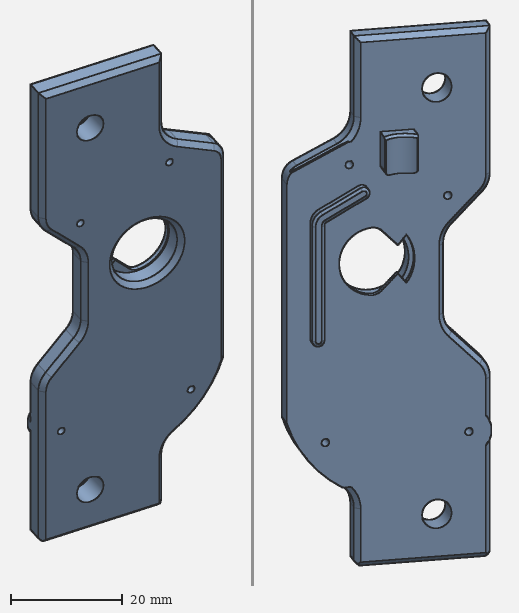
import cadquery as cq
import math

height = 100.0
overall_width = 37.57
end_width = 25.0
thickness = 5.0
edge_chamfer = 1.0

notch_depth = 8.6
notch_center_z = 53.1
notch_mouth = 34.4
notch_radius = 5.0

upper_shoulder_z = 81.4
upper_shoulder_slope = math.radians(25.5)
upper_inner_radius = 5.5
upper_outer_radius = 3.5
lower_arc_start_z = 28.2
lower_arc_radius = 22.9
lower_shoulder_z = 14.1
lower_inner_radius = 5.0

rim_bottom_z = 15.3
rim_top_z = 80.4
rim_inset = 0.35
pad_radius = 4.2

mount_hole_diameter = 5.4
mount_hole_y = 10.0
mount_hole_zs = (9.0, 89.4)
pin_hole_diameter = 1.4
edge_pin_hole = (4.1, 24.05)
pin_holes = (edge_pin_hole, (30.5, 24.05), (8.0, 68.9), (26.1, 76.1))

window_y = 21.57
window_z = 57.55
bore_diameter = 13.25
lip_thickness = 1.0
lip_diameter = 12.75
flank_radius = 2.4
bore_chamfer = 1.0
key_radius = 7.5
key_half_angle = math.radians(37.3)
throat_offset = 4.4
throat_half_width = 2.65

cradle_y = 17.35
cradle_width = 6.2
cradle_bottom_z = 74.6
cradle_top_z = 81.9
cradle_height = 3.6
cradle_corner_radius = 1.2
groove_depth = 1.2
groove_land = 0.25
groove_chamfer = 0.5

rib_width = 2.3
rib_height = 1.75
rib_chamfer_width = 0.6
rib_chamfer_depth = 0.3
rib_bend_radius = 1.8
rib_y = 32.15
rib_start_z = 43.9
rib_bend_z = 66.6
rib_end = (23.85, 71.0)


def prism(profile, x_start, x_end):
    """Extrude a profile drawn in the YZ plane from x_start to x_end."""
    return profile.extrude(x_end - x_start).translate((x_start, 0, 0))


def disc(y, z, radius, x_start, x_end):
    return prism(cq.Workplane("YZ").center(y, z).circle(radius), x_start, x_end)


def plate_blank():
    notch_low = notch_center_z - notch_mouth / 2
    notch_high = notch_center_z + notch_mouth / 2
    corner_z = upper_shoulder_z - (overall_width - end_width) * math.tan(upper_shoulder_slope)
    arc_start = (overall_width, lower_arc_start_z)
    arc_end = (end_width, lower_shoulder_z)
    outline = (
        cq.Workplane("YZ")
        .lineTo(0, notch_low)
        .lineTo(notch_depth, notch_low + notch_depth)
        .lineTo(notch_depth, notch_high - notch_depth)
        .lineTo(0, notch_high)
        .lineTo(0, height)
        .lineTo(end_width, height)
        .lineTo(end_width, upper_shoulder_z)
        .lineTo(overall_width, corner_z)
        .lineTo(*arc_start)
        .radiusArc(arc_end, lower_arc_radius)
        .lineTo(end_width, 0)
        .close()
    )
    blank = outline.extrude(thickness)

    def round_corner(body, y, z, radius):
        nearest = cq.selectors.NearestToPointSelector((thickness / 2, y, z))
        return body.edges("|X").edges(nearest).fillet(radius)

    for y, z in (
        (0, notch_low),
        (notch_depth, notch_low + notch_depth),
        (notch_depth, notch_high - notch_depth),
        (0, notch_high),
    ):
        blank = round_corner(blank, y, z, notch_radius)
    blank = round_corner(blank, end_width, upper_shoulder_z, upper_inner_radius)
    blank = round_corner(blank, overall_width, corner_z, upper_outer_radius)
    return round_corner(blank, *arc_end, lower_inner_radius)


def front_rim():
    """Slab that squares off the front edge of the wide part, just below the upper shoulder."""
    gradient = math.tan(upper_shoulder_slope)
    edge_z = upper_shoulder_z - rim_inset / math.cos(upper_shoulder_slope)
    profile = (
        cq.Workplane("YZ")
        .moveTo(end_width, rim_bottom_z)
        .lineTo(overall_width, rim_bottom_z)
        .lineTo(overall_width, edge_z - (overall_width - end_width) * gradient)
        .lineTo(end_width + (edge_z - rim_top_z) / gradient, rim_top_z)
        .lineTo(end_width, rim_top_z)
        .close()
    )
    return profile.extrude(edge_chamfer)


def plate():
    blank = plate_blank()
    chamfered = blank.faces("<X or >X").chamfer(edge_chamfer)
    pad = disc(*edge_pin_hole, pad_radius, 0, edge_chamfer)
    return bevel_bottom_corners(chamfered.union(blank.intersect(front_rim().union(pad))))


def bevel_bottom_corners(body):
    for corner_y, inward in ((0, 1), (end_width, -1)):
        corner = cq.Workplane("YZ").moveTo(corner_y, 0).lineTo(corner_y + inward * edge_chamfer, 0)
        corner = corner.lineTo(corner_y, edge_chamfer).close()
        body = body.cut(corner.extrude(thickness))
    return body


def window():
    bore = disc(window_y, window_z, bore_diameter / 2, lip_thickness, thickness)
    lip_radius = lip_diameter / 2
    key_y = window_y - key_radius * math.cos(key_half_angle)
    key_half_width = key_radius * math.sin(key_half_angle)
    throat_y = window_y - throat_offset
    flank_distance = (throat_offset + throat_half_width) / math.sqrt(2)
    flank_normal = math.radians(135)
    flank_angle = flank_normal - math.acos(flank_distance / lip_radius)
    flank_y = window_y + lip_radius * math.cos(flank_angle)
    flank_half_width = lip_radius * math.sin(flank_angle)
    opening = (
        cq.Workplane("YZ")
        .moveTo(flank_y, window_z + flank_half_width)
        .threePointArc((window_y + lip_radius, window_z), (flank_y, window_z - flank_half_width))
        .lineTo(throat_y, window_z - throat_half_width)
        .lineTo(key_y, window_z - key_half_width)
        .threePointArc((window_y - key_radius, window_z), (key_y, window_z + key_half_width))
        .lineTo(throat_y, window_z + throat_half_width)
        .close()
    )
    keyhole = opening.extrude(lip_thickness)
    for side in (1, -1):
        corner = (lip_thickness / 2, flank_y, window_z + side * flank_half_width)
        keyhole = keyhole.edges("|X").edges(cq.selectors.NearestToPointSelector(corner)).fillet(flank_radius)
    flare = cq.Workplane(
        cq.Solid.makeCone(
            bore_diameter / 2,
            bore_diameter / 2 + bore_chamfer,
            bore_chamfer,
            pnt=cq.Vector(thickness - bore_chamfer, window_y, window_z),
            dir=cq.Vector(1, 0, 0),
        )
    )
    return bore.union(keyhole).union(flare)


def cradle():
    block = (
        cq.Workplane("XY")
        .box(cradle_height, cradle_width, cradle_top_z - cradle_bottom_z, centered=(False, True, False))
        .translate((-cradle_height, cradle_y, cradle_bottom_z))
        .edges("|X and <Z")
        .fillet(cradle_corner_radius)
    )
    half_width = cradle_width / 2 - groove_land
    groove_radius = (half_width**2 + groove_depth**2) / (2 * groove_depth)
    axis_x = groove_depth - groove_radius - cradle_height
    groove = (
        cq.Workplane("XY", origin=(axis_x, cradle_y, cradle_bottom_z))
        .circle(groove_radius)
        .extrude(cradle_top_z - cradle_bottom_z)
    )
    flare = cq.Workplane(
        cq.Solid.makeCone(
            groove_radius,
            groove_radius + groove_chamfer,
            groove_chamfer,
            pnt=cq.Vector(axis_x, cradle_y, cradle_top_z - groove_chamfer),
        )
    )
    return block.cut(groove).cut(flare)


def rib():
    run_y = rib_end[0] - rib_y
    run_z = rib_end[1] - rib_bend_z
    run = math.hypot(run_y, run_z)
    turn = math.acos(run_z / run)
    tangent = rib_bend_radius * math.tan(turn / 2)
    bend_exit = (rib_y + tangent * run_y / run, rib_bend_z + tangent * run_z / run)
    outline = (
        cq.Workplane("YZ")
        .moveTo(rib_y, rib_start_z)
        .lineTo(rib_y, rib_bend_z - tangent)
        .tangentArcPoint(bend_exit, relative=False)
        .lineTo(*rib_end)
        .offset2D(rib_width / 2)
    )
    return prism(outline, -rib_height, 0).faces("<X").chamfer(rib_chamfer_depth, rib_chamfer_width)


def round_holes():
    holes = cq.Workplane("YZ")
    for z in mount_hole_zs:
        holes = holes.union(disc(mount_hole_y, z, mount_hole_diameter / 2, 0, thickness))
    for y, z in pin_holes:
        holes = holes.union(disc(y, z, pin_hole_diameter / 2, 0, thickness))
    return holes


result = plate().union(cradle()).union(rib()).cut(window()).cut(round_holes())